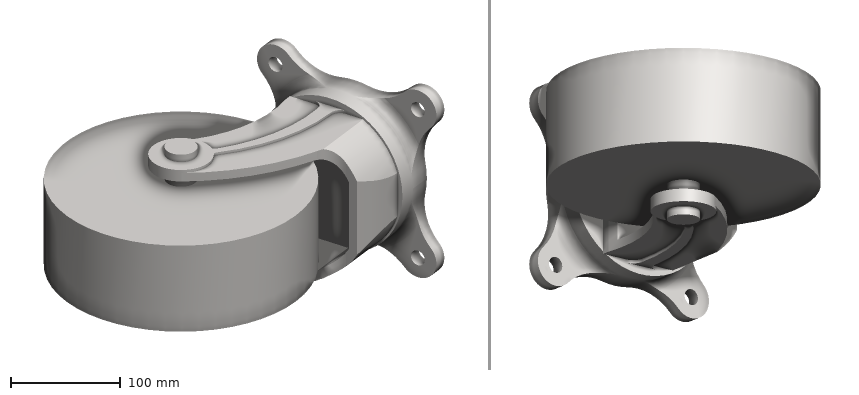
import cadquery as cq
import math


overall_depth = 315.0

plate_width = 195.0
plate_thickness = 13.2
lug_radius = 20.2
lug_offset = plate_width / 2 - lug_radius
bolt_hole_radius = 7.5
housing_radius = 78.5
housing_depth = 40.5
housing_fillet = 9.8

wheel_radius = 125.0
wheel_width = 89.8
axle_x = -65.0
axle_y = wheel_radius - overall_depth
axle_radius = 15.0
axle_length = 156.5

fork_outer_z = 67.5
fork_inner_z = 58.5
fork_outer_radius = 76.2
fork_inner_radius = 66.8
fork_reach = 126.0
crown_bottom = -60.2
cavity_back_x = 57.0
arm_front_x = -43.8
arm_straight_end = -48.5
arm_front_center = (-175.5, -69.5)
arm_back_center = (-172.0, -32.8)
wall_center = (-189.0, -37.8)
wall_radius = 261.8
wall_bottom = -97.0
relief_x = 54.0
relief_end_y = -113.0

boss_radius = 30.0
rib_height = 3.0
rib_front_center = (-174.8, -59.5)
rib_front_radius = 168.0
rib_back_center = (-170.0, -50.0)
rib_back_radius = 177.5
rib_end_y = -176.5
rib_top_fillet = 10.0
rib_bottom_fillet = 3.8
root_half_width = 28.5
root_height = 6.3


def on_circle(center, radius, y):
    """Point at height y on the +X side of a circle."""
    return center[0] + math.sqrt(radius**2 - (y - center[1])**2), y


def arc_through(sketch, center, radius, start_y, end_y):
    """Add an arc of the circle's +X side, ending at end_y."""
    middle = on_circle(center, radius, (start_y + end_y) / 2)
    return sketch.threePointArc(middle, on_circle(center, radius, end_y))


def make_plate_outline():
    """Four-lug outline: concave arcs tangent to the lugs and to the housing circle."""
    lug_distance = lug_offset * math.sqrt(2)
    neck_radius = (lug_distance**2 + lug_radius**2 - housing_radius**2) / (2 * (housing_radius - lug_radius))
    diagonal = math.sqrt(0.5)
    side = lug_radius * diagonal
    neck_center_x = lug_offset - (lug_radius + neck_radius) * diagonal
    neck_center_z = lug_offset + (lug_radius + neck_radius) * diagonal
    touch_ratio = housing_radius / (housing_radius + neck_radius)
    touch = (neck_center_x * touch_ratio, neck_center_z * touch_ratio)

    lug_start = (lug_offset - side, lug_offset + side)
    lug_tip = (lug_offset + side, lug_offset + side)
    lug_end = (lug_offset + side, lug_offset - side)
    middle_angle = (math.atan2(touch[1] - neck_center_z, touch[0] - neck_center_x)
                    + math.atan2(lug_start[1] - neck_center_z, lug_start[0] - neck_center_x)) / 2
    neck_middle = (neck_center_x + neck_radius * math.cos(middle_angle),
                   neck_center_z + neck_radius * math.sin(middle_angle))

    def turned(point, quarter):
        """Rotate a point clockwise by quarter turns."""
        x, z = point
        for _ in range(quarter):
            x, z = z, -x
        return x, z

    def mirrored(point):
        return point[1], point[0]

    outline = cq.Workplane("XZ").moveTo(*touch)
    for quarter in range(4):
        outline = outline.threePointArc(turned(neck_middle, quarter), turned(lug_start, quarter))
        outline = outline.threePointArc(turned(lug_tip, quarter), turned(lug_end, quarter))
        outline = outline.threePointArc(turned(mirrored(neck_middle), quarter),
                                        turned(mirrored(touch), quarter))
        outline = outline.threePointArc(turned((housing_radius, 0), quarter), turned(touch, quarter + 1))
    return outline.close()


def make_mount():
    plate = make_plate_outline().extrude(plate_thickness)
    housing = cq.Workplane("XZ").circle(housing_radius).extrude(housing_depth)
    fillet_end = -plate_thickness - housing_fillet
    flare_radius = housing_radius + housing_fillet
    sagitta = housing_fillet * (1 - math.sqrt(0.5))
    flare = (
        cq.Workplane("XY")
        .lineTo(flare_radius, 0)
        .lineTo(flare_radius, -plate_thickness)
        .threePointArc((housing_radius + sagitta, -plate_thickness - sagitta), (housing_radius, fillet_end))
        .lineTo(0, fillet_end)
        .close()
        .revolve(360, (0, 0), (0, 1))
        .intersect(make_plate_outline().extrude(-fillet_end))
    )
    holes = (
        cq.Workplane("XZ")
        .rect(2 * lug_offset, 2 * lug_offset, forConstruction=True)
        .vertices()
        .circle(bolt_hole_radius)
        .extrude(plate_thickness)
    )
    return plate.union(flare).union(housing).cut(holes)


def boss_tangent(center, side):
    """Radius of the arc about center that touches the boss, and the Y of the touching point.

    side is -1 for the near side of the boss and +1 for the far side.
    """
    dx = axle_x - center[0]
    dy = axle_y - center[1]
    distance = math.hypot(dx, dy)
    radius = distance + side * boss_radius
    return radius, center[1] + dy * radius / distance


def make_arm_profile():
    """Side profile of the fork: curved arm plus the rounded rear wall."""
    front_radius, front_end_y = boss_tangent(arm_front_center, -1)
    back_radius, back_end_y = boss_tangent(arm_back_center, 1)
    top = -housing_depth
    profile = cq.Workplane("XY").moveTo(arm_front_x, top).lineTo(arm_front_x, arm_straight_end)
    profile = profile.lineTo(*on_circle(arm_front_center, front_radius, arm_straight_end))
    profile = arc_through(profile, arm_front_center, front_radius, arm_straight_end, front_end_y)
    profile = profile.lineTo(*on_circle(arm_back_center, back_radius, back_end_y))
    relief_end = on_circle(arm_back_center, back_radius, relief_end_y)
    profile = arc_through(profile, arm_back_center, back_radius, back_end_y, relief_end_y)
    run = relief_x - relief_end[0]
    rise = wall_bottom - relief_end_y
    relief_radius = (run**2 + rise**2) / (2 * rise)
    half_angle = math.atan2(rise, run)
    relief_middle = (relief_x - relief_radius * math.sin(half_angle),
                     wall_bottom - relief_radius * (1 - math.cos(half_angle)))
    profile = profile.threePointArc(relief_middle, (relief_x, wall_bottom))
    profile = profile.lineTo(*on_circle(wall_center, wall_radius, wall_bottom))
    profile = arc_through(profile, wall_center, wall_radius, wall_bottom, top)
    return profile.close()


def make_rounded_slab(radius, half_width):
    """Slab of the given half width in Z, rounded at the back about the swivel axis."""
    flat_end = math.sqrt(radius**2 - half_width**2)
    return (
        cq.Workplane("XZ")
        .moveTo(-fork_reach, half_width)
        .lineTo(flat_end, half_width)
        .threePointArc((radius, 0), (flat_end, -half_width))
        .lineTo(-fork_reach, -half_width)
        .close()
        .extrude(overall_depth)
    )


def make_raised_pad():
    """Hub boss and rib on the +Z arm."""
    top = -housing_depth
    rib = cq.Workplane("XY", origin=(0, 0, fork_outer_z))
    rib = rib.moveTo(*on_circle(rib_front_center, rib_front_radius, top))
    rib = arc_through(rib, rib_front_center, rib_front_radius, top, rib_end_y)
    rib = rib.lineTo(*on_circle(rib_back_center, rib_back_radius, rib_end_y))
    rib = arc_through(rib, rib_back_center, rib_back_radius, rib_end_y, top).close().extrude(rib_height)
    root = cq.Workplane("XY").box(2 * root_half_width, root_height, rib_height, centered=(True, False, False))
    root = root.translate((0, top, fork_outer_z))
    cap = (
        cq.Workplane("XY", origin=(axle_x, axle_y, fork_outer_z))
        .circle(boss_radius)
        .extrude(rib_height)
    )
    pad = cap.union(rib).union(root)
    flare_zone = cq.selectors.BoxSelector(
        (-root_half_width / 2, top - root_height / 2, 0),
        (root_half_width / 2, top + root_height / 2, fork_reach),
    )
    pad = pad.edges("|Z").edges(flare_zone).fillet(rib_top_fillet)
    neck_zone = cq.selectors.BoxSelector(
        (axle_x + boss_radius / 2, axle_y + boss_radius / 2, 0),
        (axle_x + boss_radius, axle_y + boss_radius, fork_reach),
    )
    pad = pad.edges("|Z").edges(neck_zone).fillet(rib_bottom_fillet)
    boss = (
        cq.Workplane("XY", origin=(axle_x, axle_y, fork_inner_z))
        .circle(boss_radius)
        .extrude(fork_outer_z - fork_inner_z)
    )
    return pad.union(boss)


def make_fork():
    fork = make_arm_profile().extrude(fork_outer_z, both=True)
    fork = fork.intersect(make_rounded_slab(fork_outer_radius, fork_outer_z))
    cavity_limit = (
        cq.Workplane("XY")
        .box(overall_depth, overall_depth, overall_depth)
        .translate((cavity_back_x - overall_depth / 2, crown_bottom - overall_depth / 2, 0))
    )
    cavity = make_rounded_slab(fork_inner_radius, fork_inner_z).intersect(cavity_limit)
    pad = make_raised_pad()
    return fork.cut(cavity).union(pad).union(pad.mirror("XY"))


def make_axle_disc(radius, length):
    """Disc on the axle line, centred on Z = 0."""
    return cq.Workplane("XY", origin=(axle_x, axle_y, -length / 2)).circle(radius).extrude(length)


wheel = make_axle_disc(wheel_radius, wheel_width)
axle = make_axle_disc(axle_radius, axle_length)
result = make_mount().union(make_fork()).union(axle).union(wheel)